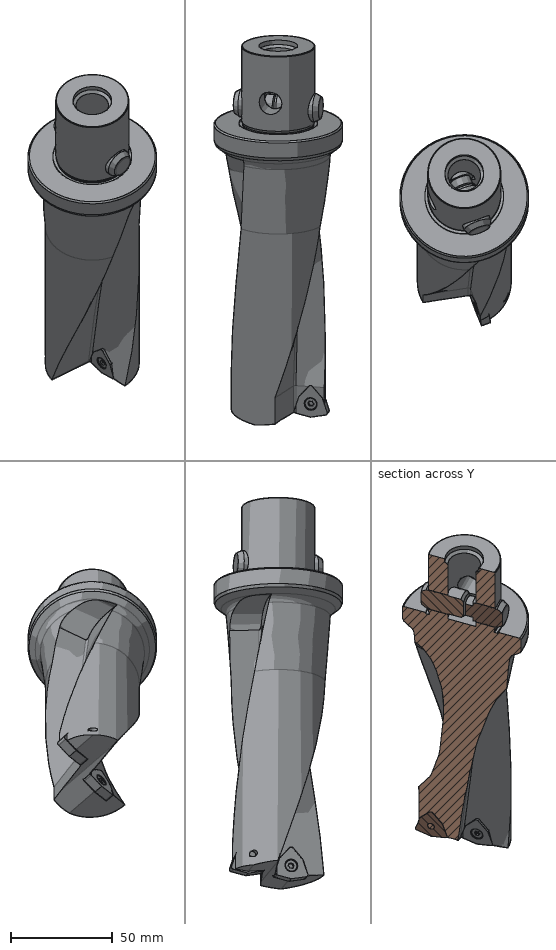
import cadquery as cq
import math

total_height = 190.0
flange_top = 150.3
flange_edge_bottom = 141.7
flange_cone_top = 140.2
flange_cone_bottom = 137.8
neck_level = 134.0
drill_shoulder = 100.1
below_tip = -3.8

flange_radius = 31.7
flange_chamfer = 0.8
flange_cone_top_radius = 31.2
flange_cone_bottom_radius = 28.1
neck_radius = 25.6
drill_radius = 23.2
shank_radius = 18.0
shank_chamfer = 0.4
relief_outer_radius = 19.4
relief_inner_radius = 17.7
relief_depth = 0.8
relief_height = 1.1

bore_radius = 8.0
bore_bottom = 150.1
counterbore_radius = 9.5
counterbore_depth = 2.3
counterbore_cone_depth = 1.1
side_hole_radius = 5.7
side_hole_level = 165.7

pin_level = 159.5
pin_radius = 7.0
pin_reach = 21.7
pin_cone_length = 2.8
pin_end_radius = 5.5
pin_rim_chamfer = 0.8
pin_rim_length = 0.2
left_pin_inner_end = 1.0
left_pin_chamfer = 1.3
nose_radius = 5.1
nose_start = 1.9
nose_length = 4.0

inner_insert_x = 6.6
outer_insert_x = -16.3
insert_level = 6.8
insert_corner_radius = 10.0
insert_waist_radius = insert_level
insert_nose_radius = 1.1
insert_thickness = 4.8
head_seat_radius = 3.2
head_radius = 2.8
head_depth = 1.7
head_sink = head_seat_radius - head_radius
screw_radius = 1.62
screw_length = 14.2
screw_hole_length = 20.9
socket_width = 2.8
socket_depth = 1.5
tip_clearance = 1.0
tip_slope = 0.13

flute_corner_fillet = 1.1
flute_reach = 45.6
flute_top = 137.5
flute_side_drift = 6.5
flute_loft_sections = 6
runout_start = 124.6
runout_slope = 16.0


def turned_body():
    """Shank, flange, neck and drill as one revolved blank."""
    profile = (
        cq.Workplane("XZ")
        .moveTo(0, below_tip)
        .lineTo(drill_radius, below_tip)
        .lineTo(drill_radius, drill_shoulder)
        .lineTo(neck_radius, neck_level)
        .tangentArcPoint((flange_cone_bottom_radius, flange_cone_bottom), relative=False)
        .lineTo(flange_cone_top_radius, flange_cone_top)
        .lineTo(flange_radius, flange_edge_bottom)
        .lineTo(flange_radius, flange_top - flange_chamfer)
        .lineTo(flange_radius - flange_chamfer, flange_top)
        .lineTo(relief_outer_radius, flange_top)
        .lineTo(relief_outer_radius, flange_top - relief_depth)
        .lineTo(relief_inner_radius, flange_top - relief_depth)
        .lineTo(relief_inner_radius, flange_top)
        .lineTo(shank_radius, flange_top + relief_height)
        .lineTo(shank_radius, total_height - shank_chamfer)
        .lineTo(shank_radius - shank_chamfer, total_height)
        .lineTo(0, total_height)
        .close()
    )
    return profile.revolve(360, (0, 0, 0), (0, 1, 0))


def shank_bore():
    """Stepped central bore with a conical seat under the counterbore."""
    step = total_height - counterbore_depth
    profile = (
        cq.Workplane("XZ")
        .moveTo(0, bore_bottom)
        .lineTo(bore_radius, bore_bottom)
        .lineTo(bore_radius, step - counterbore_cone_depth)
        .lineTo(counterbore_radius, step)
        .lineTo(counterbore_radius, total_height)
        .lineTo(0, total_height)
        .close()
    )
    return profile.revolve(360, (0, 0, 0), (0, 1, 0))


def side_hole():
    """Radial hole on the +Y side of the shank, open to the bore."""
    start = cq.Vector(0, 0, side_hole_level)
    return cq.Workplane(
        cq.Solid.makeCylinder(side_hole_radius, shank_radius, start, cq.Vector(0, 1, 0))
    )


def pin_hole():
    """Cross hole for both pins, right through the shank."""
    start = cq.Vector(-shank_radius, 0, pin_level)
    return cq.Workplane(
        cq.Solid.makeCylinder(pin_radius, 2 * shank_radius, start, cq.Vector(1, 0, 0))
    )


def polar(origin, distance, degrees):
    """Point at a distance and direction from an origin in the XY plane."""
    angle = math.radians(degrees)
    return (origin[0] + distance * math.cos(angle), origin[1] + distance * math.sin(angle))


class Flute:
    """Where one flute's wedge stands at each level, with its rake face along +X at the tip."""

    def __init__(self, corner_x, drift_per_unit, start, twist, opening):
        self.corner_x = corner_x
        self.drift_per_unit = drift_per_unit
        self.start = start
        self.twist = twist
        self.opening = opening

    def rake_direction(self, z):
        """Direction of the rake face in degrees; it turns above the start level."""
        return self.twist * max(z - self.start, 0)

    def wall_direction(self, z):
        """Direction of the trailing wall in degrees."""
        return self.rake_direction(z) - self.opening

    def corner(self, z):
        """Point where rake face and trailing wall would meet without the fillet."""
        rise = max(z - self.start, 0)
        rise_share = rise / (runout_start - self.start)
        return (self.corner_x + self.drift_per_unit * rise, flute_side_drift * rise_share**2)

    def section(self, z):
        """Closed wire of the rounded wedge at one level."""
        corner = self.corner(z)
        rake = self.rake_direction(z)
        wall = self.wall_direction(z)
        middle = (rake + wall) / 2
        half = math.radians(self.opening / 2)
        tangent_length = flute_corner_fillet / math.tan(half)
        arc_distance = flute_corner_fillet / math.sin(half) - flute_corner_fillet
        outline = (
            cq.Workplane("XY", origin=(0, 0, z))
            .moveTo(*polar(corner, flute_reach, wall))
            .lineTo(*polar(corner, tangent_length, wall))
            .threePointArc(polar(corner, arc_distance, middle), polar(corner, tangent_length, rake))
            .lineTo(*polar(corner, flute_reach, rake))
            .lineTo(*polar(corner, flute_reach, middle))
            .close()
        )
        return outline.val()

    def runout(self):
        """Stock left above the flute, where its trailing wall curves over to a flat ceiling."""
        wall = self.wall_direction(runout_start)
        plane = cq.Plane(
            origin=(*self.corner(runout_start), runout_start),
            xDir=(*polar((0, 0), 1, wall + 90), 0),
            normal=(*polar((0, 0), 1, wall), 0),
        )
        rise = flute_top - runout_start
        slope = math.radians(runout_slope)
        radius = rise / (1 - math.sin(slope))
        centre = (radius * math.cos(slope), -radius * math.sin(slope))
        middle = polar(centre, radius, 135 - runout_slope / 2)
        profile = (
            cq.Workplane(plane)
            .threePointArc(middle, (centre[0], rise))
            .lineTo(flute_reach, rise)
            .lineTo(flute_reach, 2 * rise)
            .lineTo(-flute_reach, 2 * rise)
            .lineTo(-flute_reach, 0)
            .close()
        )
        return profile.extrude(flute_reach, both=True)

    def cutters(self):
        """The two solids that cut the flute: straight at the tip, then twisting to the runout."""
        top = flute_top + 1.9
        step = (top - self.start) / (flute_loft_sections - 1)
        sections = [self.section(self.start + i * step) for i in range(flute_loft_sections)]
        twisted = cq.Workplane(cq.Solid.makeLoft(sections))
        tip_wire = self.section(below_tip)
        rise = cq.Vector(0, 0, self.start - below_tip)
        straight = cq.Workplane(cq.Solid.extrudeLinear(tip_wire, [], rise))
        return [straight, twisted.cut(self.runout())]


inner_flute = Flute(corner_x=-1.5, drift_per_unit=0.09, start=2.8, twist=0.6316, opening=99.0)
outer_flute = Flute(corner_x=8.0, drift_per_unit=0.02, start=15.8, twist=0.7632, opening=101.0)


def half_turn(part):
    """The part turned to the opposite side of the Z axis."""
    return part.rotate((0, 0, 0), (0, 0, 1), 180)


def tip_waste():
    """Stock below the drill tip, whose underside has a shallow peak under each insert."""
    valley_x = (inner_insert_x + outer_insert_x) / 2
    edge = drill_radius + 1.9

    def underside(x, peak_x):
        return (x, tip_clearance + tip_slope * abs(x - peak_x))

    profile = (
        cq.Workplane("XZ")
        .moveTo(*underside(-edge, outer_insert_x))
        .lineTo(*underside(outer_insert_x, outer_insert_x))
        .lineTo(*underside(valley_x, outer_insert_x))
        .lineTo(*underside(inner_insert_x, inner_insert_x))
        .lineTo(*underside(edge, inner_insert_x))
        .lineTo(edge, 2 * below_tip)
        .lineTo(-edge, 2 * below_tip)
        .close()
    )
    return profile.extrude(edge, both=True)


def insert_blank():
    """Trigon insert, centred on its screw, with its top face on Y = 0 and its body toward +Y."""
    points = []
    for i in range(3):
        points.append(polar((0, 0), insert_corner_radius, 90 + 120 * i))
        points.append(polar((0, 0), insert_waist_radius, 150 + 120 * i))
    blank = cq.Workplane("XZ").polyline(points).close().extrude(-insert_thickness)
    for x, z in points[::2]:
        near = cq.selectors.BoxSelector((x - 1.9, -1.9, z - 1.9), (x + 1.9, insert_thickness + 1.9, z + 1.9))
        blank = blank.edges("|Y").edges(near).fillet(insert_nose_radius)
    return blank


def screw_blank():
    """Countersunk screw along +Y, its head just below the insert's top face."""
    profile = (
        cq.Workplane("XY")
        .moveTo(0, head_sink)
        .lineTo(head_radius, head_sink)
        .lineTo(screw_radius, head_depth)
        .lineTo(screw_radius, screw_length)
        .lineTo(0, screw_length)
        .close()
    )
    return profile.revolve(360, (0, 0, 0), (0, 1, 0))


def screw_socket():
    """Hexagon socket in the screw head."""
    hexagon = cq.Workplane("XZ", origin=(0, head_sink, 0)).polygon(6, socket_width)
    return hexagon.extrude(-socket_depth)


def screw_clearance():
    """Countersunk hole for the screw through the insert and on into the drill."""
    hole = cq.Workplane("XZ").circle(screw_radius).extrude(-screw_hole_length)
    seat = cq.Solid.makeCone(
        head_seat_radius,
        screw_radius,
        head_depth,
        cq.Vector(0, 0, 0),
        cq.Vector(0, 1, 0),
    )
    return hole.union(cq.Workplane(seat))


def at_inner_seat(part):
    """Moves an insert part to the seat near the axis, facing -Y."""
    return part.translate((inner_insert_x, 0, insert_level))


def at_outer_seat(part):
    """Moves an insert part to the seat at the rim, facing +Y."""
    return half_turn(part).translate((outer_insert_x, 0, insert_level))


def pin_outer_end():
    """Half outline of a pin's outer end, as (distance from the Z axis, radius) points."""
    return [
        (pin_reach - pin_cone_length, pin_radius),
        (pin_reach - pin_rim_length, pin_end_radius),
        (pin_reach, pin_end_radius - pin_rim_chamfer),
    ]


def turned_pin(outline):
    """Pin revolved about its own axis, which lies along X."""
    profile = cq.Workplane("XY").polyline(outline).close()
    return profile.revolve(360, (0, 0, 0), (1, 0, 0)).translate((0, 0, pin_level))


def left_pin():
    """Full-width pin that reaches from the -X side to the middle of the bore."""
    outer = [(-x, radius) for x, radius in pin_outer_end()]
    inner = [
        (left_pin_inner_end - left_pin_chamfer, pin_radius),
        (left_pin_inner_end, pin_radius - left_pin_chamfer),
        (left_pin_inner_end, 0),
    ]
    return turned_pin([*reversed(inner), *outer, (-pin_reach, 0)])


def right_pin():
    """Pin on the +X side, with a narrower nose pointing into the bore."""
    shoulder = nose_start + nose_length
    inner = [
        (nose_start, 0),
        (nose_start, nose_radius),
        (shoulder, nose_radius),
        (shoulder, pin_radius),
    ]
    return turned_pin([*inner, *pin_outer_end(), (pin_reach, 0)])


def holder():
    """Drill body with bore, pin hole, flutes, tip and insert seats."""
    body = turned_body().cut(shank_bore()).cut(side_hole()).cut(pin_hole())
    for cutter in inner_flute.cutters():
        body = body.cut(cutter)
    for cutter in outer_flute.cutters():
        body = body.cut(half_turn(cutter))
    body = body.cut(tip_waste())
    for place in (at_inner_seat, at_outer_seat):
        body = body.cut(place(insert_blank())).cut(place(screw_clearance()))
    return body


bodies = [holder(), left_pin(), right_pin()]
for place in (at_inner_seat, at_outer_seat):
    bodies.append(place(insert_blank().cut(screw_clearance())))
    bodies.append(place(screw_blank().cut(screw_socket())))

result = cq.Compound.makeCompound([body.val() for body in bodies])